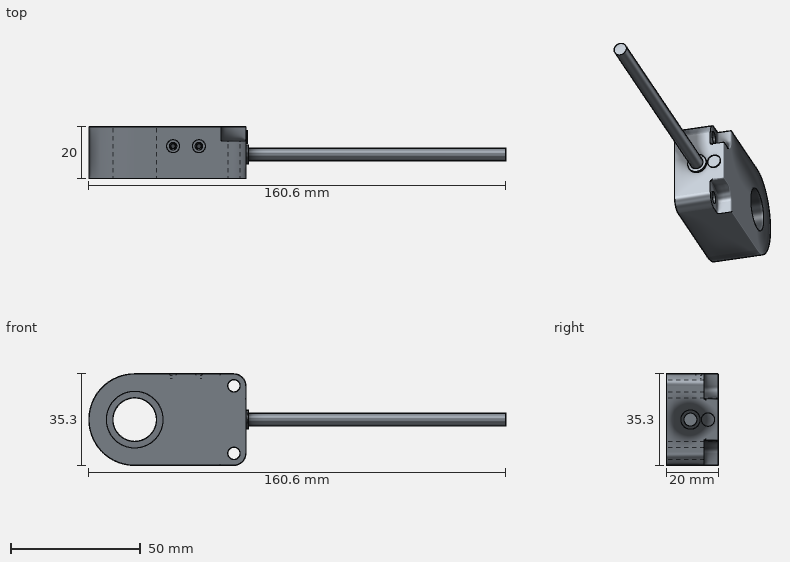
import cadquery as cq

total_length = 160.6
housing_length = 60.5
housing_height = 35.3
housing_depth = 20.0
nose_radius = housing_height / 2
corner_radius = 4.8
small_fillet = 0.5

bore_diameter = 16.7
ring_diameter = 21.8
ring_recess = 0.2

mount_hole_diameter = 4.7
mount_hole_x = 55.9
mount_hole_z = 13.0
notch_radius = 5.0
notch_inner_z = mount_hole_z - notch_radius
notch_floor_y = 14.5

screw_y = 12.5
screw_x = (32.5, 42.4)
screw_diameter = 5.0
screw_recess = 0.2
socket_mouth_diameter = 2.9
socket_diameter = 2.0
socket_depth = 1.6

cable_diameter = 5.0
cable_y = 9.3
collar_diameter = 7.4
collar_length = 1.0
lamp_diameter = 5.1
lamp_y = 16.0
lamp_height = 0.5


def rod_along_y(x, z, diameter, y_start, y_end):
    plane = cq.Workplane("XZ", origin=(x, y_start, z))
    return plane.circle(diameter / 2).extrude(y_start - y_end)


def rod_on_end_face(y, diameter, x_end):
    plane = cq.Workplane("YZ", origin=(housing_length, y, 0))
    return plane.circle(diameter / 2).extrude(x_end - housing_length)


def make_housing():
    flat_end = housing_length - nose_radius
    block = (
        cq.Workplane("XY")
        .box(flat_end, housing_depth, housing_height, centered=(False, False, True))
        .translate((nose_radius, 0, 0))
        .edges("|Y and >X")
        .fillet(corner_radius)
    )
    nose = rod_along_y(nose_radius, 0, housing_height, 0, housing_depth)
    return block.union(nose)


def corner_notch(side):
    """Screw-head clearance round one hole, open to the end face and to the top or bottom."""
    notch = (
        cq.Workplane("XZ", origin=(0, notch_floor_y, 0))
        .moveTo(mount_hole_x - notch_radius, nose_radius)
        .lineTo(mount_hole_x - notch_radius, mount_hole_z)
        .radiusArc((mount_hole_x, notch_inner_z), -notch_radius)
        .lineTo(housing_length, notch_inner_z)
        .lineTo(housing_length, nose_radius)
        .close()
        .extrude(notch_floor_y - housing_depth)
    )
    return notch if side > 0 else notch.mirror("XY")


def screw_cut(x):
    """Recessed screw end with a hexagon socket behind a countersunk mouth."""
    recess = (
        cq.Workplane("XY", origin=(x, screw_y, nose_radius - screw_recess))
        .circle(screw_diameter / 2)
        .extrude(screw_recess)
    )
    screw_end = recess.faces("<Z").workplane()
    mouth_depth = (socket_mouth_diameter - socket_diameter) / 2
    mouth = screw_end.circle(socket_mouth_diameter / 2).extrude(mouth_depth, taper=45, combine=False)
    socket = screw_end.polygon(6, socket_diameter).extrude(socket_depth, combine=False)
    return recess.union(mouth).union(socket)


housing = make_housing()
for side in (1, -1):
    housing = housing.cut(corner_notch(side))

housing = housing.faces(">X").edges("|Y").fillet(small_fillet)
for side in (1, -1):
    inner_corner = (mount_hole_x + small_fillet, notch_floor_y, side * notch_inner_z)
    housing = housing.edges(cq.selectors.NearestToPointSelector(inner_corner)).fillet(small_fillet)
housing = housing.faces(">Y").edges().fillet(small_fillet)

for side in (1, -1):
    hole = rod_along_y(mount_hole_x, side * mount_hole_z, mount_hole_diameter, 0, housing_depth)
    housing = housing.cut(hole)

housing = housing.cut(rod_along_y(nose_radius, 0, ring_diameter, 0, ring_recess))
housing = housing.cut(rod_along_y(nose_radius, 0, bore_diameter, 0, housing_depth))

for x in screw_x:
    housing = housing.cut(screw_cut(x))

collar = rod_on_end_face(cable_y, collar_diameter, housing_length + collar_length)
cable = rod_on_end_face(cable_y, cable_diameter, total_length)
lamp = rod_on_end_face(lamp_y, lamp_diameter, housing_length + lamp_height)

result = housing.union(collar).union(cable).union(lamp)